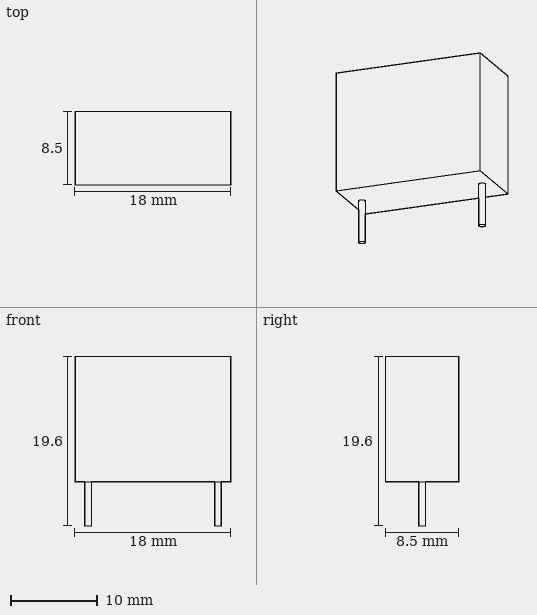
import cadquery as cq

case_length = 18.0
case_width = 8.5
total_height = 19.6

pin_diameter = 0.8
pin_length = 5.1
pin_spacing = 15.0

case_height = total_height - pin_length


def make_case():
    """Plain rectangular case with its underside on the XY plane."""
    return cq.Workplane("XY").box(case_length, case_width, case_height, centered=(True, True, False))


def make_pin(x):
    """Round lead hanging down from the case underside at the given X."""
    return cq.Workplane("XY").center(x, 0).circle(pin_diameter / 2).extrude(-pin_length)


case = make_case()
pins = [make_pin(side * pin_spacing / 2) for side in (-1, 1)]

result = cq.Compound.makeCompound([case.val(), *[pin.val() for pin in pins]])